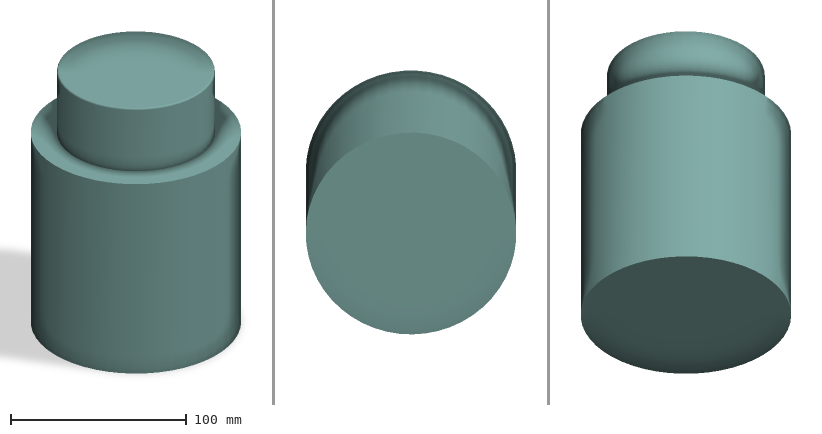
import cadquery as cq

total_height = 165.0
body_diameter = 120.0
neck_diameter = 90.0
neck_height = 41.0
rim_radius = 1.0

body_height = total_height - neck_height

body = cq.Workplane("XY").circle(body_diameter / 2).extrude(body_height)

neck = (
    cq.Workplane("XY")
    .workplane(offset=body_height)
    .circle(neck_diameter / 2)
    .extrude(neck_height)
    .faces(">Z")
    .edges()
    .fillet(rim_radius)
)

result = body.union(neck)